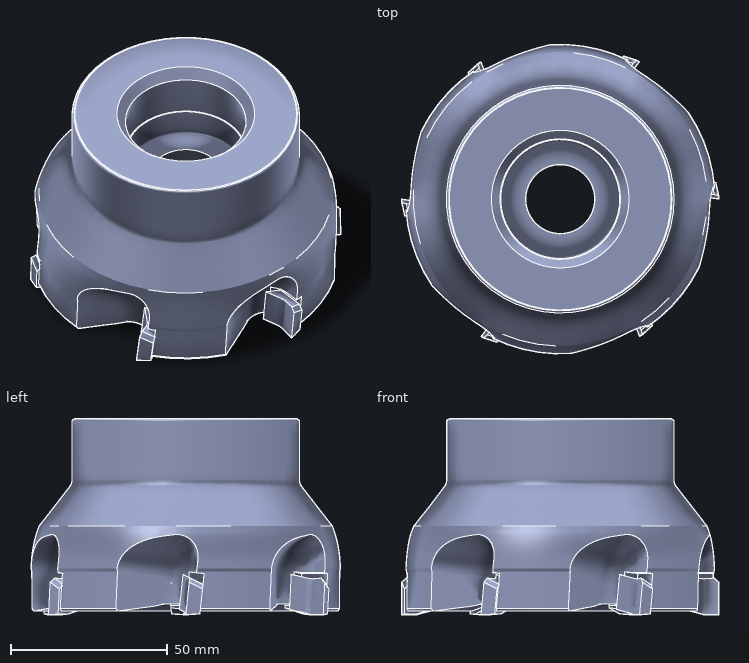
import cadquery as cq
import math

insert_count = 6
overall_height = 63.0
cutting_radius = 50.8
body_bottom = 1.2

hub_radius = 73.0 / 2
hub_face_radius = 71.0 / 2
hub_round = 0.7
hub_bevel_height = 0.3
hub_bottom = 43.2
neck_radius = 37.2
neck_bottom = 41.2
cone_radius = 47.0
cone_bottom = 28.5
rim_radius = 49.6
rim_bottom = 14.7
skirt_radius = 49.4
skirt_top = 13.8
skirt_chamfer_height = 0.9
skirt_chamfer_width = 0.5
dish_radius = 40.6
dish_height = 2.7
floor_radius = 38.6
floor_height = 3.5

bore_mouth_radius = 22.0
upper_bore_radius = 38.6 / 2
lower_bore_radius = 38.1 / 2
bore_mouth_depth = 3.3
bore_step = 46.0
bore_floor = 36.9
bore_floor_round = 0.6
through_radius = 22.0 / 2

axial_rake = 6.0
wall_end_x = 38.6
wall_end_y = -8.9
wall_angle = 111.7
wall_straight_top = 11.6
roof_radius = 14.2
roof_turn = 62.0
pocket_back_y = 2.0
gullet_radius = 7.1
pocket_reach = 40.6

seat_inner_x = 39.5
seat_back_y = 4.5
seat_top = 13.8
insert_front_y = -2.2
insert_top = 12.0
insert_corner_chamfer = 1.4
top_clearance = 21.0
outer_clearance = 12.0
bottom_clearance = 10.0
inner_end_rise = 1.9
rake_ridge_x = 45.9
rake_ridge_y = 0.7
rake_slope_end_x = 43.6
rake_slope_end_y = 0.0
rake_hollow_x = 44.8
rake_hollow_y = 0.5


def lean(shape):
    """Tip a shape about the X axis by the axial rake."""
    return shape.rotate((0, 0, 0), (1, 0, 0), -axial_rake)


def place(shape, index):
    """Turn a shape about the cutter axis to the given insert station."""
    return shape.rotate((0, 0, 0), (0, 0, 1), index * 360.0 / insert_count)


def make_blank():
    """Body of revolution, with its stepped bore, before the pockets are cut."""
    rim_height = cone_bottom - rim_bottom
    rim_inset = rim_radius - cone_radius
    rim_arc_radius = (rim_height**2 + rim_inset**2) / (2 * rim_inset)
    neck_height = hub_bottom - neck_bottom
    neck_step = neck_radius - hub_radius
    neck_arc_radius = (neck_height**2 + neck_step**2) / (2 * neck_step)
    bevel_bottom = overall_height - hub_bevel_height
    return (
        cq.Workplane("XZ")
        .moveTo(through_radius, floor_height)
        .lineTo(floor_radius, floor_height)
        .lineTo(dish_radius, dish_height)
        .lineTo(skirt_radius - skirt_chamfer_width, body_bottom)
        .lineTo(skirt_radius, body_bottom + skirt_chamfer_height)
        .lineTo(skirt_radius, skirt_top)
        .lineTo(rim_radius, rim_bottom)
        .radiusArc((cone_radius, cone_bottom), -rim_arc_radius)
        .lineTo(neck_radius, neck_bottom)
        .radiusArc((hub_radius, hub_bottom), neck_arc_radius)
        .lineTo(hub_radius, bevel_bottom - hub_round)
        .radiusArc((hub_radius - hub_round, bevel_bottom), -hub_round)
        .lineTo(hub_face_radius, overall_height)
        .lineTo(bore_mouth_radius, overall_height)
        .lineTo(upper_bore_radius, overall_height - bore_mouth_depth)
        .lineTo(upper_bore_radius, bore_step)
        .lineTo(lower_bore_radius, bore_step)
        .lineTo(lower_bore_radius, bore_floor + bore_floor_round)
        .radiusArc((lower_bore_radius - bore_floor_round, bore_floor), bore_floor_round)
        .lineTo(through_radius, bore_floor)
        .close()
        .revolve(360, (0, 0, 0), (0, 1, 0))
    )


def make_pocket_cutter():
    """Chip pocket: a wall that curves out into a roof, rounded into the back wall."""
    wall_turn = math.radians(wall_angle)
    along = cq.Vector(math.cos(wall_turn), math.sin(wall_turn), 0)
    outward = cq.Vector(along.y, -along.x, 0)
    start = cq.Vector(wall_end_x, wall_end_y, 0) - along * pocket_reach
    wall_plane = cq.Plane(origin=start, xDir=outward, normal=along * -1)

    turn = math.radians(roof_turn)
    half_turn = turn / 2
    roof_middle = (
        roof_radius * (1 - math.cos(half_turn)),
        wall_straight_top + roof_radius * math.sin(half_turn),
    )
    roof_end = (
        roof_radius * (1 - math.cos(turn)),
        wall_straight_top + roof_radius * math.sin(turn),
    )
    roof_far_height = roof_end[1] + (pocket_reach - roof_end[0]) / math.tan(turn)
    cutter = (
        cq.Workplane(wall_plane)
        .moveTo(0, -roof_radius)
        .lineTo(0, wall_straight_top)
        .threePointArc(roof_middle, roof_end)
        .lineTo(pocket_reach, roof_far_height)
        .lineTo(pocket_reach, -roof_radius)
        .close()
        .extrude(-2 * pocket_reach)
    )
    behind = (
        cq.Workplane("XY")
        .box(4 * pocket_reach, 2 * pocket_reach, 4 * pocket_reach, centered=(True, False, True))
        .translate((0, pocket_back_y, 0))
    )
    cutter = cutter.cut(behind)
    inner_edges = cutter.faces(">Y").edges("not(<Z or >X)")
    return lean(inner_edges.fillet(gullet_radius))


def make_seat_cutter():
    """Straight-sided recess that carries one insert."""
    depth = seat_back_y - insert_front_y
    seat = (
        cq.Workplane("XY")
        .box(pocket_reach, depth, 2 * seat_top, centered=(False, False, True))
        .translate((seat_inner_x, insert_front_y, 0))
    )
    return lean(seat)


def insert_outline(y):
    """Cross-section of the insert at depth y; the flanks close in as y grows."""
    top = insert_top - y * math.tan(math.radians(top_clearance))
    bottom = y * math.tan(math.radians(bottom_clearance))
    outer_x = cutting_radius - y * math.tan(math.radians(outer_clearance))
    return cq.Wire.makePolygon(
        [
            cq.Vector(seat_inner_x, y, bottom + inner_end_rise),
            cq.Vector(rake_ridge_x, y, bottom),
            cq.Vector(outer_x, y, bottom),
            cq.Vector(outer_x, y, top - insert_corner_chamfer),
            cq.Vector(outer_x - insert_corner_chamfer, y, top),
            cq.Vector(seat_inner_x, y, top),
        ],
        close=True,
    )


def make_insert():
    """Cutting insert: tapered flanks, a flat cutting face and a sloping inner face."""
    outlines = [insert_outline(insert_front_y), insert_outline(seat_back_y)]
    blank = cq.Workplane(cq.Solid.makeLoft(outlines, True))
    clear_x = cutting_radius + insert_corner_chamfer
    clear_y = 2 * insert_front_y
    rake_face = (
        cq.Workplane("XY", origin=(0, 0, -seat_top))
        .moveTo(seat_inner_x, insert_front_y)
        .lineTo(rake_slope_end_x, rake_slope_end_y)
        .threePointArc((rake_hollow_x, rake_hollow_y), (rake_ridge_x, rake_ridge_y))
        .lineTo(cutting_radius, 0)
        .lineTo(clear_x, 0)
        .lineTo(clear_x, clear_y)
        .lineTo(seat_inner_x, clear_y)
        .close()
        .extrude(3 * seat_top)
    )
    return lean(blank.cut(rake_face))


def make_body():
    """Cutter body with a chip pocket and an insert seat at every station."""
    body = make_blank()
    pocket = make_pocket_cutter()
    seat = make_seat_cutter()
    for index in range(insert_count):
        body = body.cut(place(pocket, index)).cut(place(seat, index))
    return body


body = make_body()
insert = make_insert()
inserts = [place(insert, index).val() for index in range(insert_count)]

result = cq.Compound.makeCompound([body.val(), *inserts])